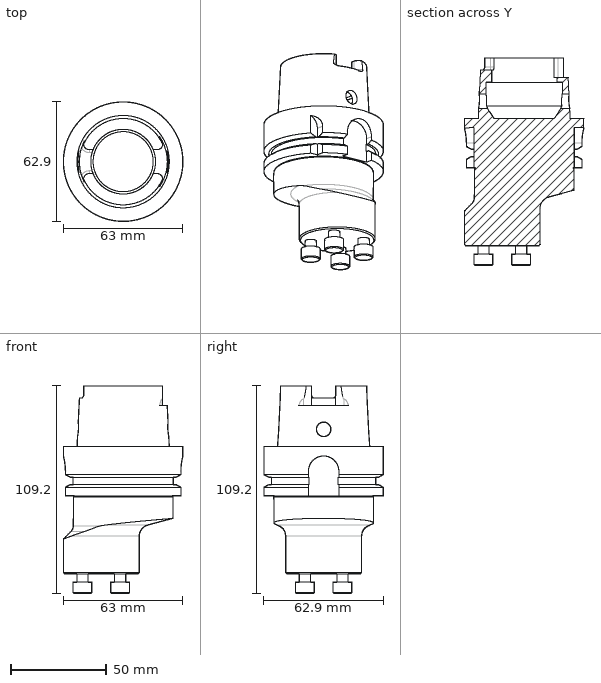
import cadquery as cq
import math


shank_length = 31.9
shank_base_radius = 24.32
shank_top_radius = 22.72
bore_radius = 34.05 / 2
bore_lip_height = 19.0
chamber_radius = 40.08 / 2
chamber_wall_bottom = 6.6
bore_floor_radius = 15.8
bore_floor_height = 0.0
cross_hole_diameter = 7.5
cross_hole_height = 9.0

slot_half_width = 6.27
slot_corner_radius = 3.0
slot_corner_x = 17.8
slot_flare_length = 6.0
left_slot_depth = 6.4
right_slot_depth = 10.3
left_slot_fillet = 1.5

flange_radius = 62.94 / 2
flange_thickness = 26.0
groove_center_depth = 18.13
groove_floor_width = 3.75
groove_floor_radius = 27.5
groove_ridge_radius = 28.9
groove_mouth_width = 6.7

keyway_radius = 8.0
keyway_center_depth = 13.0
keyway_floor_x = 26.43
notch_radius = 6.5
notch_center_depth = 11.3
notch_wall_y = 19.9
notch_floor_x = 19.85

neck_radius = 52.5 / 2
neck_relief_width = 0.4
neck_relief_height = 0.6
flare_corner_depth = 43.47
flare_blend_radius = 4.0
shoulder_blend_radius = 6.0
nose_offset = 11.5
nose_radius = 20.0
nose_bottom_depth = 67.0
nose_chamfer = 0.7
shoulder_slope = 15.0
shoulder_corner_depth = 42.55

screw_circle_radius = 14.0
screw_count = 4
screw_start_angle = 45.0
screw_shaft_radius = 6.0 / 2
screw_head_radius = 10.0 / 2
screw_head_height = 6.0
screw_head_chamfer = 0.5
screw_bottom_depth = 77.32
screw_embed = 1.0

clearance = 10.0
pick_margin = 1.0


def revolve(points):
    """Revolve an (r, z) outline about the Z axis."""
    return cq.Workplane("XZ").polyline(points).close().revolve(360, (0, 0, 0), (0, 1, 0))


def make_shank():
    return revolve([
        (0, 0),
        (shank_base_radius, 0),
        (shank_top_radius, shank_length),
        (0, shank_length),
    ])


def make_bore():
    """Straight entry, wider chamber below its lip, then a cone down to a flat floor."""
    return revolve([
        (0, bore_floor_height),
        (bore_floor_radius, bore_floor_height),
        (chamber_radius, chamber_wall_bottom),
        (chamber_radius, bore_lip_height),
        (bore_radius, bore_lip_height),
        (bore_radius, shank_length + clearance),
        (0, shank_length + clearance),
    ])


def make_cross_hole():
    return (
        cq.Workplane("YZ")
        .center(0, cross_hole_height)
        .circle(cross_hole_diameter / 2)
        .extrude(flange_radius, both=True)
    )


def make_drive_slot(depth):
    """Slot on the +X side whose walls round off outwards at both corners."""
    center_y = slot_half_width + slot_corner_radius
    flare_angle = math.atan2(center_y, slot_corner_x)
    middle_angle = (flare_angle - math.pi / 2) / 2

    def on_corner(angle):
        return (
            slot_corner_x + slot_corner_radius * math.cos(angle),
            center_y + slot_corner_radius * math.sin(angle),
        )

    arc_start = (slot_corner_x, slot_half_width)
    arc_middle = on_corner(middle_angle)
    arc_end = on_corner(flare_angle)
    flare_end = (
        arc_end[0] - slot_flare_length * math.sin(flare_angle),
        arc_end[1] + slot_flare_length * math.cos(flare_angle),
    )

    def mirrored(point):
        return (point[0], -point[1])

    return (
        cq.Workplane("XY")
        .workplane(offset=shank_length - depth)
        .moveTo(0, -slot_half_width)
        .lineTo(*mirrored(arc_start))
        .threePointArc(mirrored(arc_middle), mirrored(arc_end))
        .lineTo(*mirrored(flare_end))
        .lineTo(flange_radius, -flare_end[1])
        .lineTo(flange_radius, flare_end[1])
        .lineTo(*flare_end)
        .lineTo(*arc_end)
        .threePointArc(arc_middle, arc_start)
        .lineTo(0, slot_half_width)
        .close()
        .extrude(depth + clearance)
    )


def make_left_slot():
    slot = make_drive_slot(left_slot_depth)
    wall_edges = slot.faces("<Z").edges("not(<X or >X or <Y or >Y)")
    return wall_edges.fillet(left_slot_fillet).rotate((0, 0, 0), (0, 0, 1), 180)


def make_flange():
    mouth_top = -groove_center_depth + groove_mouth_width / 2
    mouth_bottom = -groove_center_depth - groove_mouth_width / 2
    floor_top = -groove_center_depth + groove_floor_width / 2
    floor_bottom = -groove_center_depth - groove_floor_width / 2
    return revolve([
        (0, 0),
        (flange_radius, 0),
        (flange_radius, mouth_top),
        (groove_ridge_radius, floor_top),
        (groove_floor_radius, floor_top),
        (groove_floor_radius, floor_bottom),
        (groove_ridge_radius, floor_bottom),
        (flange_radius, mouth_bottom),
        (flange_radius, -flange_thickness),
        (0, -flange_thickness),
    ])


def make_round_top_cut(floor_x, center_y, center_depth, radius):
    """Cut outwards from X = floor_x: round at the top, open through the flange bottom."""
    height = flange_thickness - center_depth
    round_top = cq.Workplane("YZ", origin=(floor_x, center_y, -center_depth)).circle(radius)
    straight = (
        cq.Workplane("YZ", origin=(floor_x, center_y, -center_depth - height / 2))
        .rect(2 * radius, height)
    )
    reach = flange_radius + clearance - floor_x
    return round_top.extrude(reach).union(straight.extrude(reach))


def make_keyways():
    keyway = make_round_top_cut(keyway_floor_x, 0, keyway_center_depth, keyway_radius)
    return keyway.union(keyway.mirror("YZ"))


def make_notch():
    center_y = notch_wall_y + notch_radius
    return make_round_top_cut(notch_floor_x, center_y, notch_center_depth, notch_radius).mirror("YZ")


def ring_edges_at(height, reach):
    """Selector for the edges around the Z axis at one height."""
    return cq.selectors.BoxSelector(
        (-reach, -reach, height - pick_margin),
        (reach, reach, height + pick_margin),
    )


def make_neck_and_nose():
    """Common volume of the flared neck about Z and the shouldered nose about its own axis."""
    reach = flange_radius + nose_offset
    flare_end_depth = flare_corner_depth + reach - neck_radius
    neck = revolve([
        (0, -flange_thickness),
        (neck_radius - neck_relief_width, -flange_thickness),
        (neck_radius, -flange_thickness - neck_relief_height),
        (neck_radius, -flare_corner_depth),
        (reach, -flare_end_depth),
        (reach, -nose_bottom_depth),
        (0, -nose_bottom_depth),
    ])
    neck = neck.edges(ring_edges_at(-flare_corner_depth, reach)).fillet(flare_blend_radius)

    shoulder_rise = (reach - nose_radius) * math.tan(math.radians(shoulder_slope))
    nose = revolve([
        (0, -nose_bottom_depth),
        (nose_radius - nose_chamfer, -nose_bottom_depth),
        (nose_radius, -nose_bottom_depth + nose_chamfer),
        (nose_radius, -shoulder_corner_depth),
        (reach, -shoulder_corner_depth + shoulder_rise),
        (reach, -flange_thickness),
        (0, -flange_thickness),
    ])
    nose = nose.edges(ring_edges_at(-shoulder_corner_depth, reach)).fillet(shoulder_blend_radius)
    return neck.intersect(nose.translate((-nose_offset, 0, 0)))


def make_screw():
    head_top = -screw_bottom_depth + screw_head_height
    return revolve([
        (0, -screw_bottom_depth),
        (screw_head_radius - screw_head_chamfer, -screw_bottom_depth),
        (screw_head_radius, -screw_bottom_depth + screw_head_chamfer),
        (screw_head_radius, head_top),
        (screw_shaft_radius, head_top),
        (screw_shaft_radius, -nose_bottom_depth + screw_embed),
        (0, -nose_bottom_depth + screw_embed),
    ])


shank = make_shank().cut(make_drive_slot(right_slot_depth)).cut(make_left_slot())
flange = make_flange().cut(make_keyways()).cut(make_notch())

result = shank.union(flange).union(make_neck_and_nose())
result = result.cut(make_bore()).cut(make_cross_hole())

for index in range(screw_count):
    angle = math.radians(screw_start_angle + index * 360 / screw_count)
    screw_x = -nose_offset + screw_circle_radius * math.cos(angle)
    screw_y = screw_circle_radius * math.sin(angle)
    result = result.union(make_screw().translate((screw_x, screw_y, 0)))